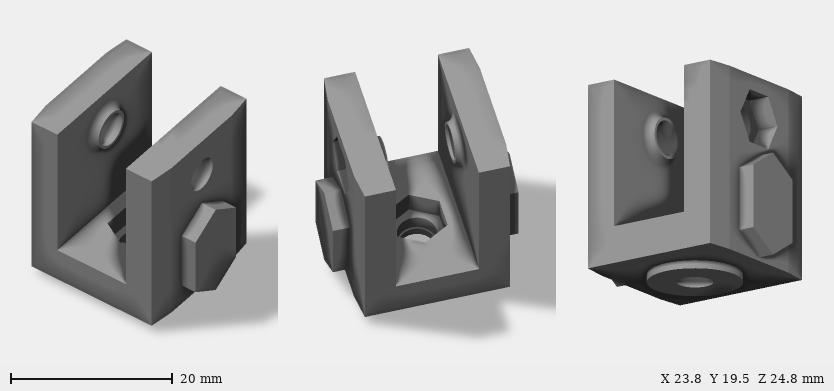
import cadquery as cq

overall_length = 23.8
overall_height = 24.75
body_length = 19.5
body_width = 19.5

pad_height = 1.05
pad_diameter = 11.95
cheek_flat_width = 12.5
end_length = 18.62
slot_width = 10.62
floor_thickness = 4.75
floor_top = pad_height + floor_thickness

lug_width = 8.32
lug_height = 13.17
lug_straight_height = 8.12
lug_bottom_gap = 0.45
lug_center_z = pad_height + lug_bottom_gap + lug_height / 2

bolt_diameter = 4.5
bolt_z = overall_height - 5.4
nut_corner_diameter = 7.85
nut_depth = 2.9
collar_diameter = 5.25
collar_height = 1.05

clearance_diameter = 5.0


def make_body():
    half_length = body_length / 2
    half_width = body_width / 2
    half_end = end_length / 2
    half_flat = cheek_flat_width / 2
    outline = [
        (half_end, -half_width),
        (half_length, -half_flat),
        (half_length, half_flat),
        (half_end, half_width),
        (-half_end, half_width),
        (-half_length, half_flat),
        (-half_length, -half_flat),
        (-half_end, -half_width),
    ]
    block = (
        cq.Workplane("XY")
        .workplane(offset=pad_height)
        .polyline(outline)
        .close()
        .extrude(overall_height - pad_height)
    )
    slot = (
        cq.Workplane("XY")
        .workplane(offset=floor_top)
        .rect(slot_width, body_width)
        .extrude(overall_height - floor_top)
    )
    pad = cq.Workplane("XY").circle(pad_diameter / 2).extrude(2 * pad_height)
    return block.cut(slot).union(pad)


def make_lug():
    """Lug on the +X cheek, rooted at the slot wall."""
    half_width = lug_width / 2
    half_height = lug_height / 2
    half_straight = lug_straight_height / 2
    outline = [
        (half_width, -half_straight),
        (half_width, half_straight),
        (0, half_height),
        (-half_width, half_straight),
        (-half_width, -half_straight),
        (0, -half_height),
    ]
    return (
        cq.Workplane("YZ", origin=(slot_width / 2, 0, lug_center_z))
        .polyline(outline)
        .close()
        .extrude((overall_length - slot_width) / 2)
    )


def make_collar():
    """Collar on the +X slot wall, flaring into the wall with a quarter-round fillet."""
    wall_x = slot_width / 2
    tip_x = wall_x - collar_height
    root_x = wall_x + collar_height
    tip_radius = collar_diameter / 2
    flare_radius = tip_radius + collar_height
    diagonal = collar_height * 0.5**0.5
    return (
        cq.Workplane("XY")
        .moveTo(tip_x, 0)
        .lineTo(tip_x, tip_radius)
        .threePointArc((tip_x + diagonal, flare_radius - diagonal), (wall_x, flare_radius))
        .lineTo(root_x, flare_radius)
        .lineTo(root_x, 0)
        .close()
        .revolve(360, (0, 0, 0), (1, 0, 0))
        .translate((0, 0, bolt_z))
    )


def make_side_nut_pocket():
    """Hexagonal pocket sunk into the -X cheek, with two corners along Y."""
    return (
        cq.Workplane("YZ", origin=(-body_length / 2, 0, bolt_z))
        .polygon(6, nut_corner_diameter)
        .extrude(nut_depth)
    )


def make_floor_nut_pocket():
    """Hexagonal pocket sunk into the slot floor, with two corners along Y."""
    return (
        cq.Workplane("XY")
        .polygon(6, nut_corner_diameter)
        .extrude(nut_depth)
        .rotate((0, 0, 0), (0, 0, 1), 90)
        .translate((0, 0, floor_top - nut_depth))
    )


def both_sides(feature):
    """The feature together with its mirror image on the other cheek."""
    return feature.union(feature.mirror("YZ"))


cross_hole = (
    cq.Workplane("YZ", origin=(-body_length / 2, 0, bolt_z))
    .circle(bolt_diameter / 2)
    .extrude(body_length)
)
pad_hole = cq.Workplane("XY").circle(bolt_diameter / 2).extrude(floor_top)
clearance_hole = (
    cq.Workplane("XY")
    .workplane(offset=pad_height)
    .circle(clearance_diameter / 2)
    .extrude(floor_thickness)
)

result = (
    make_body()
    .union(both_sides(make_lug()))
    .union(both_sides(make_collar()))
    .cut(make_side_nut_pocket())
    .cut(cross_hole)
    .cut(make_floor_nut_pocket())
    .cut(clearance_hole)
    .cut(pad_hole)
)